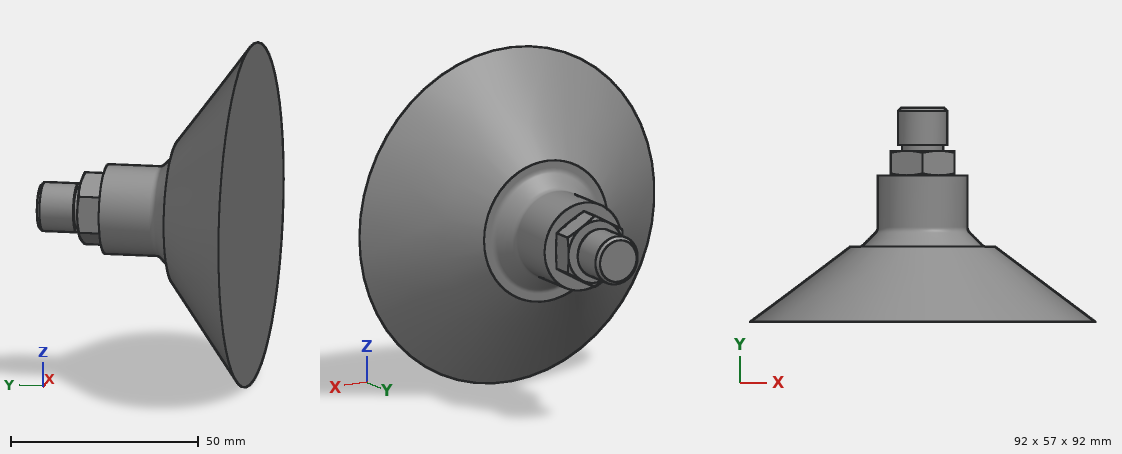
import cadquery as cq
import math

TOTAL_LENGTH = 57.0
CUP_HEIGHT = 20.0
CYLINDER_START = 25.1
BODY_END = 39.0
HEX_END = 45.5
THREAD_START = 47.0

CUP_RIM_DIAMETER = 92.0
CUP_SHOULDER_DIAMETER = 38.6

BODY_DIAMETER = 24.0
FLARE_ANGLE = math.radians(45.0)
FLARE_BLEND_RADIUS = 2.0

HEX_SIDES = 6
HEX_ACROSS_FLATS = 17.0
HEX_CORNER_CHAMFER_ANGLE = math.radians(20.0)

THREAD_DIAMETER = 13.16
THREAD_CHAMFER = 0.9
UNDERCUT_DIAMETER = 11.0


def revolve_about_y(profile):
    """Revolve a closed (radius, Y) profile a full turn about the Y axis."""
    return profile.close().revolve(360.0, (0, 0, 0), (0, 1, 0))


def make_cup():
    """Solid truncated cone from the rim to the shoulder."""
    return revolve_about_y(
        cq.Workplane("XY")
        .lineTo(CUP_RIM_DIAMETER / 2, 0)
        .lineTo(CUP_SHOULDER_DIAMETER / 2, CUP_HEIGHT)
        .lineTo(0, CUP_HEIGHT)
    )


def make_body():
    """Cylinder and conical flare, blended into each other and into the cup shoulder."""
    body_radius = BODY_DIAMETER / 2

    full_rise = FLARE_BLEND_RADIUS * math.sin(FLARE_ANGLE)
    full_offset = FLARE_BLEND_RADIUS * (1 - math.cos(FLARE_ANGLE))
    half_rise = FLARE_BLEND_RADIUS * math.sin(FLARE_ANGLE / 2)
    half_offset = FLARE_BLEND_RADIUS * (1 - math.cos(FLARE_ANGLE / 2))

    flank_top = CYLINDER_START - full_rise
    flank_bottom = CUP_HEIGHT + full_offset
    flank_top_radius = body_radius + full_offset
    flank_bottom_radius = flank_top_radius + flank_top - flank_bottom
    foot_radius = flank_bottom_radius + full_rise

    return revolve_about_y(
        cq.Workplane("XY")
        .moveTo(0, CUP_HEIGHT)
        .lineTo(foot_radius, CUP_HEIGHT)
        .threePointArc(
            (foot_radius - half_rise, CUP_HEIGHT + half_offset),
            (flank_bottom_radius, flank_bottom),
        )
        .lineTo(flank_top_radius, flank_top)
        .threePointArc(
            (body_radius + half_offset, CYLINDER_START - half_rise),
            (body_radius, CYLINDER_START),
        )
        .lineTo(body_radius, BODY_END)
        .lineTo(0, BODY_END)
    )


def make_hexagon():
    """Hexagonal prism with its corners turned off conically at both ends."""
    length = HEX_END - BODY_END
    corner_radius = HEX_ACROSS_FLATS / 2 / math.cos(math.pi / HEX_SIDES)
    face_radius = HEX_ACROSS_FLATS / 2
    chamfer_length = (corner_radius - face_radius) * math.tan(HEX_CORNER_CHAMFER_ANGLE)

    prism = (
        cq.Workplane("XZ", origin=(0, BODY_END, 0))
        .transformed(rotate=(0, 0, 180 / HEX_SIDES))
        .polygon(HEX_SIDES, 2 * corner_radius)
        .extrude(-length)
    )
    turned_envelope = revolve_about_y(
        cq.Workplane("XY")
        .moveTo(0, BODY_END)
        .lineTo(face_radius, BODY_END)
        .lineTo(corner_radius, BODY_END + chamfer_length)
        .lineTo(corner_radius, HEX_END - chamfer_length)
        .lineTo(face_radius, HEX_END)
        .lineTo(0, HEX_END)
    )
    return prism.intersect(turned_envelope)


def make_threaded_end():
    """Undercut followed by the thread cylinder with a chamfered tip."""
    thread_radius = THREAD_DIAMETER / 2
    undercut_radius = UNDERCUT_DIAMETER / 2
    return revolve_about_y(
        cq.Workplane("XY")
        .moveTo(0, HEX_END)
        .lineTo(undercut_radius, HEX_END)
        .lineTo(undercut_radius, THREAD_START)
        .lineTo(thread_radius, THREAD_START)
        .lineTo(thread_radius, TOTAL_LENGTH - THREAD_CHAMFER)
        .lineTo(thread_radius - THREAD_CHAMFER, TOTAL_LENGTH)
        .lineTo(0, TOTAL_LENGTH)
    )


result = make_cup().union(make_body()).union(make_hexagon()).union(make_threaded_end())